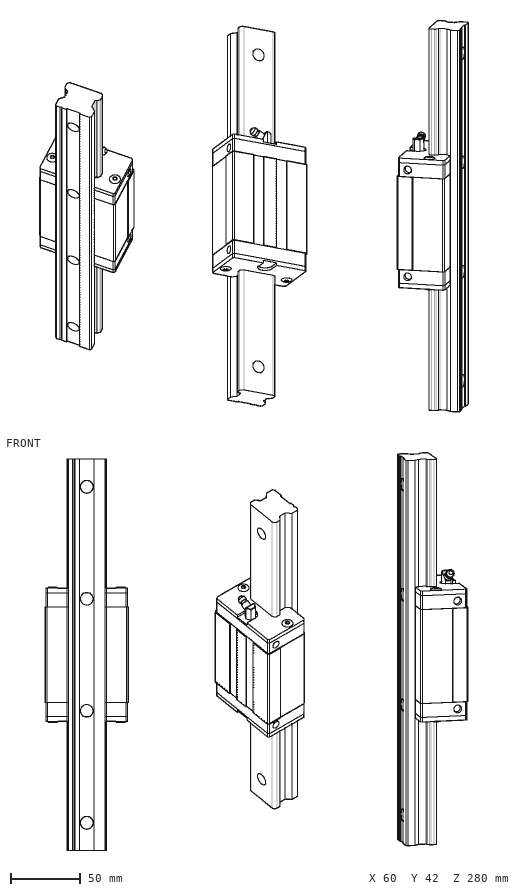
import cadquery as cq
import math


rail_length = 280.0
rail_half_width = 14.0
rail_height = 23.0
foot_chamfer = 1.0
waist_half_width = 10.5
waist_bottom = 9.8
foot_side_top = waist_bottom - (rail_half_width - waist_half_width)
ledge_height = 15.7
ledge_half_width = 12.0
head_side_bottom = ledge_height + (rail_half_width - ledge_half_width)
waist_fillet = 0.8
flank_fillet = 1.0
head_fillet = 2.5
relief_half_width = 5.0
relief_depth = 0.8
mark_groove_x = -9.2
mark_groove_half_width = 0.8
mark_groove_depth = 0.5
bolt_hole_diameter = 9.0
bolt_pitch = 80.0
bolt_count = 4

carriage_width = 60.0
carriage_top = 42.0
carriage_bottom = 7.0
carriage_length = 68.3
edge_chamfer = 1.0
datum_height = 11.5
datum_step = 0.42
land_half_width = 5.0
land_groove_end = 13.2
land_groove_depth = 0.8

cap_width = 58.5
cap_top = 41.2
cap_thickness = 10.0
seal_thickness = 3.5
side_hole_diameter = 5.5
side_hole_depth = 4.2
side_hole_y = 34.2
cap_start = carriage_length / 2
seal_start = cap_start + cap_thickness
seal_end = seal_start + seal_thickness
port_y = 33.5
port_radius = 5.3
port_depth = 2.0
port_floor = seal_end - port_depth
screw_x = 24.5
screw_y = 19.3
screw_radius = 4.0
screw_flat_radius = 1.7
screw_height = 0.98
socket_width = 2.5
socket_depth = 0.8

nipple_flats = 7.0
nipple_hex_height = port_depth + 8.5
hex_top_chamfer = 0.7
slant_start = 0.42
arm_angle = 25.0
arm_base_x = 2.1
arm_base_radius = 2.8
arm_base_length = 4.5
arm_neck_radius = 2.2
arm_neck_length = 1.7
arm_head_radius = 2.8
arm_head_length = 2.2
arm_tip_radius = 1.5
arm_tip_length = 1.7


def rail_outline():
    """Corners of the rail section as (x, y, fillet radius), from the right foot round to the left foot."""
    right_side = [
        (rail_half_width - foot_chamfer, 0, 0),
        (rail_half_width, foot_chamfer, 0),
        (rail_half_width, foot_side_top, 0),
        (waist_half_width, waist_bottom, 0),
        (waist_half_width, ledge_height, waist_fillet),
        (ledge_half_width, ledge_height, 0),
        (rail_half_width, head_side_bottom, flank_fillet),
        (rail_half_width, rail_height, head_fillet),
    ]
    left_side = [(-x, y, radius) for x, y, radius in reversed(right_side)]
    return right_side + left_side


def extrude_rounded_outline(corners, z_start, length):
    """Extrude a closed outline whose corners carry their own fillet radius (0 keeps a corner sharp)."""
    sketch = cq.Workplane("XY").workplane(offset=z_start)
    start_x, start_y, _ = corners[0]
    sketch = sketch.moveTo(start_x, start_y)
    for before, corner, after in zip(corners, corners[1:], corners[2:] + corners[:1]):
        point = cq.Vector(corner[0], corner[1])
        radius = corner[2]
        if radius == 0:
            sketch = sketch.lineTo(point.x, point.y)
            continue
        to_before = (cq.Vector(before[0], before[1]) - point).normalized()
        to_after = (cq.Vector(after[0], after[1]) - point).normalized()
        half_angle = to_before.getAngle(to_after) / 2
        tangent_length = radius / math.tan(half_angle)
        arc_start = point + to_before * tangent_length
        arc_end = point + to_after * tangent_length
        middle_distance = radius / math.sin(half_angle) - radius
        arc_middle = point + (to_before + to_after).normalized() * middle_distance
        sketch = sketch.lineTo(arc_start.x, arc_start.y)
        sketch = sketch.threePointArc((arc_middle.x, arc_middle.y), (arc_end.x, arc_end.y))
    return sketch.close().extrude(length)


def extrude_outline(points, z_start, length):
    return cq.Workplane("XY").workplane(offset=z_start).polyline(points).close().extrude(length)


def box_between(x_min, x_max, y_min, y_max, z_min, z_max):
    size = (x_max - x_min, y_max - y_min, z_max - z_min)
    return cq.Workplane("XY").box(*size, centered=False).translate((x_min, y_min, z_min))


rail_blank = extrude_rounded_outline(rail_outline(), -rail_length / 2, rail_length)


def make_rail():
    relief = box_between(
        -relief_half_width, relief_half_width, 0, relief_depth, -rail_length / 2, rail_length / 2
    )
    mark_outline = [
        (mark_groove_x - mark_groove_half_width, 0),
        (mark_groove_x, mark_groove_depth),
        (mark_groove_x + mark_groove_half_width, 0),
    ]
    mark_groove = extrude_outline(mark_outline, -rail_length / 2, rail_length)
    bolt_holes = (
        cq.Workplane("XZ")
        .rarray(2.8, bolt_pitch, 1, bolt_count)
        .circle(bolt_hole_diameter / 2)
        .extrude(-rail_height)
    )
    return rail_blank.cut(relief).cut(mark_groove).cut(bolt_holes)


def make_carriage():
    half = carriage_width / 2
    lower_half = half - datum_step
    datum_bottom = carriage_top - datum_height
    right_side = [
        (lower_half - edge_chamfer, carriage_bottom),
        (lower_half, carriage_bottom + edge_chamfer),
        (lower_half, datum_bottom - datum_step),
        (half, datum_bottom),
        (half, carriage_top - edge_chamfer),
        (half - edge_chamfer, carriage_top),
    ]
    left_side = [(-x, y) for x, y in reversed(right_side)]
    body = extrude_outline(right_side + left_side, -carriage_length / 2, carriage_length)
    groove = box_between(
        land_half_width, land_groove_end,
        carriage_top - land_groove_depth, carriage_top,
        -carriage_length / 2, carriage_length / 2,
    )
    return body.cut(rail_blank).cut(groove).cut(groove.mirror("YZ"))


def hexagon_corner_diameter(flats):
    return 2 * flats / math.sqrt(3)


def hexagon_prism(flats, height):
    """Upright hexagon with flats facing +X and -X."""
    prism = cq.Workplane("XY").polygon(6, hexagon_corner_diameter(flats)).extrude(height)
    quarter_turn = 90
    return prism.rotate((0, 0, 0), (0, 0, 1), quarter_turn)


def end_plate(z_start, thickness):
    """Chamfered plate with the end outline, open around the rail."""
    plate = box_between(
        -cap_width / 2, cap_width / 2, carriage_bottom, cap_top, z_start, z_start + thickness
    )
    return plate.edges("|Z").chamfer(edge_chamfer).cut(rail_blank)


def make_end_cap():
    cap = end_plate(cap_start, cap_thickness)
    for side in (-1, 1):
        hole = (
            cq.Workplane("YZ", origin=(side * cap_width / 2, side_hole_y, cap_start + cap_thickness / 2))
            .circle(side_hole_diameter / 2)
            .extrude(-side * side_hole_depth)
        )
        cap = cap.cut(hole)
    return cap


def screw_head(x):
    """Flat-topped round head with a hexagon socket, standing on the seal."""
    head = (
        cq.Workplane("XZ")
        .moveTo(0, 0)
        .lineTo(0, screw_height)
        .lineTo(screw_flat_radius, screw_height)
        .tangentArcPoint((screw_radius, 0), relative=False)
        .close()
        .revolve(360, (0, 0, 0), (0, 1, 0))
    )
    socket = hexagon_prism(socket_width, socket_depth).translate((0, 0, screw_height - socket_depth))
    return head.cut(socket).translate((x, screw_y, seal_end))


def make_seal():
    seal = end_plate(seal_start, seal_thickness)
    port_end = cq.Workplane("XY", origin=(0, port_y, port_floor)).circle(port_radius).extrude(port_depth)
    port_slot = box_between(-port_radius, port_radius, port_y, cap_top, port_floor, seal_end)
    seal = seal.cut(port_end).cut(port_slot)
    for x in (-screw_x, screw_x):
        seal = seal.union(screw_head(x))
    return seal


def nipple_arm():
    """Stepped round arm along +X: base, neck, head and conical tip."""
    base_end = arm_base_length
    neck_end = base_end + arm_neck_length
    head_end = neck_end + arm_head_length
    tip_end = head_end + arm_tip_length
    outline = [
        (0, 0),
        (0, arm_base_radius),
        (base_end, arm_base_radius),
        (base_end, arm_neck_radius),
        (neck_end, arm_neck_radius),
        (neck_end, arm_head_radius),
        (head_end, arm_head_radius),
        (tip_end, arm_tip_radius),
        (tip_end, 0),
    ]
    return cq.Workplane("XY").polyline(outline).close().revolve(360, (0, 0, 0), (1, 0, 0))


def make_nipple():
    """Hexagon with a rounded-off top and a slanted face that carries the tilted arm."""
    corner_radius = hexagon_corner_diameter(nipple_flats) / 2
    envelope = (
        cq.Workplane("XY")
        .circle(corner_radius)
        .extrude(nipple_hex_height)
        .faces(">Z")
        .chamfer(hex_top_chamfer)
    )
    body = hexagon_prism(nipple_flats, nipple_hex_height).intersect(envelope)
    slope = math.tan(math.radians(90 - arm_angle))
    beyond = 2 * corner_radius
    slant_bottom = nipple_hex_height - slope * (beyond - slant_start)
    wedge = (
        cq.Workplane("XZ")
        .polyline([(slant_start, nipple_hex_height), (beyond, nipple_hex_height), (beyond, slant_bottom)])
        .close()
        .extrude(nipple_flats, both=True)
    )
    arm_base_z = nipple_hex_height - slope * (arm_base_x - slant_start)
    arm = nipple_arm().rotate((0, 0, 0), (0, 1, 0), -arm_angle).translate((arm_base_x, 0, arm_base_z))
    return body.cut(wedge).union(arm).translate((0, port_y, port_floor))


rail = make_rail()
carriage = make_carriage()
end_caps = [make_end_cap(), make_end_cap().mirror("XY")]
seals = [make_seal(), make_seal().mirror("XY")]
nipple = make_nipple()

result = cq.Compound.makeCompound(
    [rail.val(), carriage.val()] + [part.val() for part in end_caps + seals] + [nipple.val()]
)